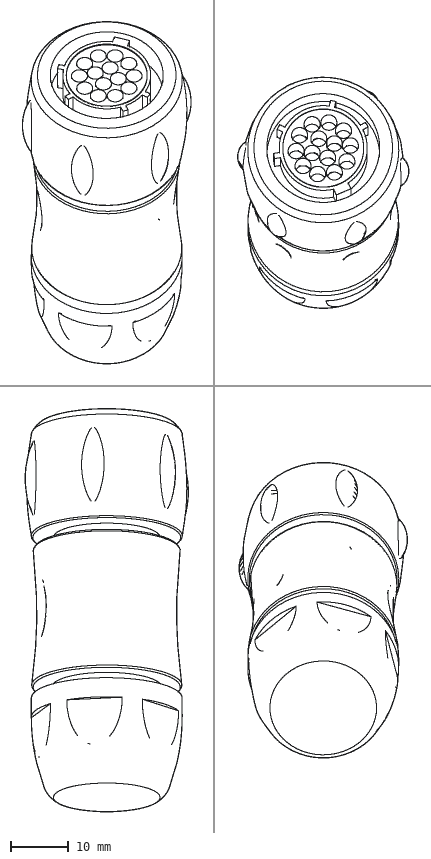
import cadquery as cq

HEIGHT = 67.15

END_RADIUS = 6.2
END_CONE_RADIUS = 9.2
END_CONE_TOP = 0.9
END_ROUND_MID_RADIUS = 10.2
END_ROUND_MID_Z = 1.75
END_ROUND_RADIUS = 10.8
END_ROUND_TOP = 2.75
CLAMP_RADIUS = 13.0
COLLAR_BOTTOM = 15.25
CLAMP_TOP = 18.7
FLAT_APOTHEM = 12.1

LOWER_NECK_RADIUS = 9.5
SLEEVE_BOTTOM = 20.6
SLEEVE_BOTTOM_RADIUS = 12.95
SLEEVE_WAIST_RADIUS = 12.1
SLEEVE_WAIST_Z = 33.9
SLEEVE_TOP = 45.4
SLEEVE_TOP_RADIUS = 12.7
SLEEVE_EDGE_WIDTH = 0.3
SLEEVE_EDGE_HEIGHT = 0.35
UPPER_NECK_RADIUS = 9.2

NUT_BOTTOM = 47.4
NUT_EDGE_RADIUS = 13.0
NUT_LOWER_EDGE = 0.3
NUT_BELLY_RADIUS = 13.8
NUT_TOP_RADIUS = 11.95
NUT_TOP_ROUND_MID_RADIUS = 12.55
NUT_TOP_ROUND_MID_Z = 66.55
NUT_TOP_ROUND_HEIGHT = 1.3
NUT_BELLY_Z = (NUT_BOTTOM + NUT_LOWER_EDGE + HEIGHT - NUT_TOP_ROUND_HEIGHT) / 2

GRIP_COUNT = 6
FIRST_GRIP_ANGLE = 90
RIB_AXIS_RADIUS = 12.55
RIB_BULGE = 2.3
RIB_HALF_HEIGHT = 8.3
DIMPLE_AXIS_RADIUS = 14.25
DIMPLE_BULGE = 3.0
DIMPLE_HALF_HEIGHT = 9.1
DIMPLE_Z = 33.5
DIMPLE_EDGE_ROUND = 0.8

SOCKET_RADIUS = 9.75
SOCKET_DEPTH = 5.1
INSERT_RADIUS = 7.6
INSERT_FACE_RADIUS = 7.0
INSERT_FACE_DEPTH = 0.2
KEY_REACH = 8.6
MAIN_KEY_WIDTH = 2.75
MAIN_KEY_ANGLE = 90
SMALL_KEY_WIDTH = 0.95
SMALL_KEY_ANGLES = (185, 234.5, 310, 345.5)

CONTACT_DIAMETER = 2.75
OUTER_CONTACT_COUNT = 10
OUTER_CONTACT_RADIUS = 4.7
INNER_CONTACT_X = 2.1
INNER_CONTACT_Y = 1.9


def grip_angles():
    return [FIRST_GRIP_ANGLE + index * 360 / GRIP_COUNT for index in range(GRIP_COUNT)]


def around_axis(shape):
    """Copies of a shape made on the +X side, one at each grip position."""
    copies = cq.Workplane("XY")
    for angle in grip_angles():
        copies = copies.add(shape.rotate((0, 0, 0), (0, 0, 1), angle))
    return copies


def spindle(axis_radius, center_z, bulge, half_height):
    """Pointed barrel with a vertical axis at the given distance from the main axis."""
    return (
        cq.Workplane("XZ", origin=(axis_radius, 0, center_z))
        .moveTo(0, -half_height)
        .threePointArc((bulge, 0), (0, half_height))
        .close()
        .revolve(360, (0, 0), (0, 1))
    )


def clamp_nut():
    nut = (
        cq.Workplane("XZ")
        .lineTo(0, CLAMP_TOP)
        .lineTo(CLAMP_RADIUS, CLAMP_TOP)
        .lineTo(CLAMP_RADIUS, COLLAR_BOTTOM)
        .tangentArcPoint((END_ROUND_RADIUS, END_ROUND_TOP), relative=False)
        .threePointArc((END_ROUND_MID_RADIUS, END_ROUND_MID_Z), (END_CONE_RADIUS, END_CONE_TOP))
        .lineTo(END_RADIUS, 0)
        .close()
        .revolve(360, (0, 0), (0, 1))
    )
    flat_cutter = (
        cq.Workplane("XY")
        .box(CLAMP_RADIUS, 2 * CLAMP_RADIUS, COLLAR_BOTTOM, centered=(False, True, False))
        .translate((FLAT_APOTHEM, 0, 0))
    )
    for cutter in around_axis(flat_cutter).vals():
        nut = nut.cut(cutter)
    return nut


def sleeve():
    body = (
        cq.Workplane("XZ")
        .moveTo(0, SLEEVE_BOTTOM)
        .lineTo(SLEEVE_BOTTOM_RADIUS - SLEEVE_EDGE_WIDTH, SLEEVE_BOTTOM)
        .lineTo(SLEEVE_BOTTOM_RADIUS, SLEEVE_BOTTOM + SLEEVE_EDGE_HEIGHT)
        .threePointArc(
            (SLEEVE_WAIST_RADIUS, SLEEVE_WAIST_Z),
            (SLEEVE_TOP_RADIUS, SLEEVE_TOP - SLEEVE_EDGE_HEIGHT),
        )
        .lineTo(SLEEVE_TOP_RADIUS - SLEEVE_EDGE_WIDTH, SLEEVE_TOP)
        .lineTo(0, SLEEVE_TOP)
        .close()
        .revolve(360, (0, 0), (0, 1))
    )
    dimple = spindle(DIMPLE_AXIS_RADIUS, DIMPLE_Z, DIMPLE_BULGE, DIMPLE_HALF_HEIGHT)
    for cutter in around_axis(dimple).vals():
        body = body.cut(cutter)
    rim_bottom = DIMPLE_Z - DIMPLE_HALF_HEIGHT
    rim_top = DIMPLE_Z + DIMPLE_HALF_HEIGHT
    rims = cq.selectors.BoxSelector(
        (-NUT_BELLY_RADIUS, -NUT_BELLY_RADIUS, rim_bottom),
        (NUT_BELLY_RADIUS, NUT_BELLY_RADIUS, rim_top),
        boundingbox=True,
    )
    return body.edges(rims).fillet(DIMPLE_EDGE_ROUND)


def necks():
    lower = (
        cq.Workplane("XY", origin=(0, 0, CLAMP_TOP))
        .circle(LOWER_NECK_RADIUS)
        .extrude(SLEEVE_BOTTOM - CLAMP_TOP)
    )
    upper = (
        cq.Workplane("XY", origin=(0, 0, SLEEVE_TOP))
        .circle(UPPER_NECK_RADIUS)
        .extrude(NUT_BOTTOM - SLEEVE_TOP)
    )
    return lower, upper


def coupling_nut():
    nut = (
        cq.Workplane("XZ")
        .moveTo(0, NUT_BOTTOM)
        .lineTo(NUT_EDGE_RADIUS - NUT_LOWER_EDGE, NUT_BOTTOM)
        .lineTo(NUT_EDGE_RADIUS, NUT_BOTTOM + NUT_LOWER_EDGE)
        .threePointArc(
            (NUT_BELLY_RADIUS, NUT_BELLY_Z),
            (NUT_EDGE_RADIUS, HEIGHT - NUT_TOP_ROUND_HEIGHT),
        )
        .threePointArc((NUT_TOP_ROUND_MID_RADIUS, NUT_TOP_ROUND_MID_Z), (NUT_TOP_RADIUS, HEIGHT))
        .lineTo(0, HEIGHT)
        .close()
        .revolve(360, (0, 0), (0, 1))
    )
    rib = spindle(RIB_AXIS_RADIUS, NUT_BELLY_Z, RIB_BULGE, RIB_HALF_HEIGHT)
    for copy in around_axis(rib).vals():
        nut = nut.union(copy)
    return nut.cut(socket_cutter())


def key(width, angle):
    """Block from the axis outward, as deep as the socket."""
    return (
        cq.Workplane("XY", origin=(0, 0, HEIGHT - SOCKET_DEPTH))
        .box(KEY_REACH, width, SOCKET_DEPTH, centered=(False, True, False))
        .rotate((0, 0, 0), (0, 0, 1), angle)
    )


def socket_cutter():
    """Ring-shaped space around the keyed insert, with the recessed insert face and its holes."""
    floor = cq.Workplane("XY", origin=(0, 0, HEIGHT - SOCKET_DEPTH))
    cutter = floor.circle(SOCKET_RADIUS).circle(INSERT_RADIUS).extrude(SOCKET_DEPTH)
    cutter = cutter.cut(key(MAIN_KEY_WIDTH, MAIN_KEY_ANGLE))
    for angle in SMALL_KEY_ANGLES:
        cutter = cutter.cut(key(SMALL_KEY_WIDTH, angle))

    face = (
        cq.Workplane("XY", origin=(0, 0, HEIGHT - INSERT_FACE_DEPTH))
        .circle(INSERT_FACE_RADIUS)
        .extrude(INSERT_FACE_DEPTH)
    )
    inner_contacts = [
        (INNER_CONTACT_X, 0),
        (-INNER_CONTACT_X, 0),
        (0, INNER_CONTACT_Y),
        (0, -INNER_CONTACT_Y),
    ]
    contacts = (
        floor.polarArray(OUTER_CONTACT_RADIUS, MAIN_KEY_ANGLE, 360, OUTER_CONTACT_COUNT)
        .circle(CONTACT_DIAMETER / 2)
        .extrude(SOCKET_DEPTH)
    )
    contacts = contacts.add(
        floor.pushPoints(inner_contacts).circle(CONTACT_DIAMETER / 2).extrude(SOCKET_DEPTH)
    )
    cutter = cutter.union(face)
    for contact in contacts.vals():
        cutter = cutter.union(contact)
    return cutter


result = clamp_nut().union(sleeve()).union(coupling_nut())
for neck in necks():
    result = result.union(neck)